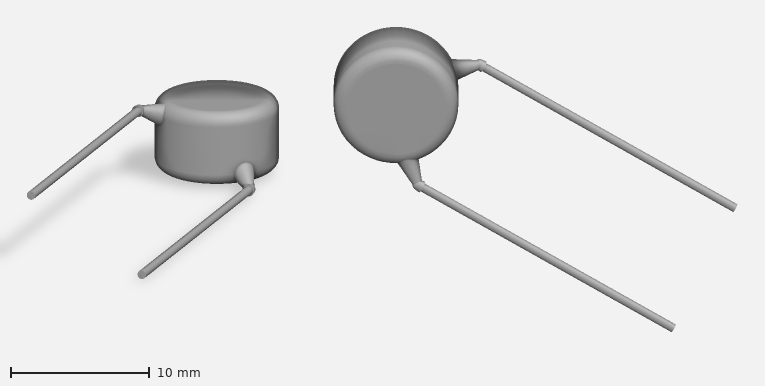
import cadquery as cq


disc_diameter = 9.0
disc_height = 5.5
rim_fillet = 0.95

overall_length = 30.5
lead_diameter = 0.65
lead_spacing_x = 8.57
lead_spacing_z = 5.0
lead_x = lead_spacing_x / 2
lead_z = lead_spacing_z / 2
lead_tip_y = disc_diameter / 2 - overall_length

collar_diameter = 0.88
elbow_diameter = 0.8
collar_face_y = -4.8
elbow_y = -4.45
cone_tip_radius = 0.35
cone_root_radius = 0.85
cone_root = cq.Vector(-3.05, -2.75, 1.77)

Y_AXIS_START = (0, 0, 0)
Y_AXIS_END = (0, 1, 0)
lead_turns = (0, 180)


def make_disc():
    """Cylinder along Z with both rims rounded."""
    disc = cq.Workplane("XY").cylinder(disc_height, disc_diameter / 2)
    return disc.edges("%CIRCLE").fillet(rim_fillet)


def make_coating_neck():
    """Cone out of the disc, ball elbow, and a collar that flares slightly along the lead axis."""
    elbow = cq.Vector(-lead_x, elbow_y, lead_z)
    axis = elbow - cone_root
    elbow_radius = elbow_diameter / 2
    cone = cq.Workplane(cq.Solid.makeCone(cone_root_radius, cone_tip_radius, axis.Length, cone_root, axis))
    ball = cq.Workplane("XY").sphere(elbow_radius).translate(elbow)
    collar_length = elbow_y - collar_face_y
    collar = cq.Solid.makeCone(
        elbow_radius, collar_diameter / 2, collar_length, elbow, cq.Vector(0, -1, 0)
    )
    return cone.union(ball).union(cq.Workplane(collar))


def make_housing():
    """Disc with a coating neck for each lead, as one solid."""
    housing = make_disc()
    neck = make_coating_neck()
    for turn in lead_turns:
        housing = housing.union(neck.rotate(Y_AXIS_START, Y_AXIS_END, turn))
    return housing


def make_lead(turn):
    """Straight round wire that starts at the collar face."""
    start = cq.Vector(-lead_x, collar_face_y, lead_z)
    length = collar_face_y - lead_tip_y
    wire = cq.Solid.makeCylinder(lead_diameter / 2, length, start, cq.Vector(0, -1, 0))
    return cq.Workplane(wire).rotate(Y_AXIS_START, Y_AXIS_END, turn)


housing = make_housing()
leads = [make_lead(turn).val() for turn in lead_turns]

result = cq.Compound.makeCompound([*housing.vals(), *leads])